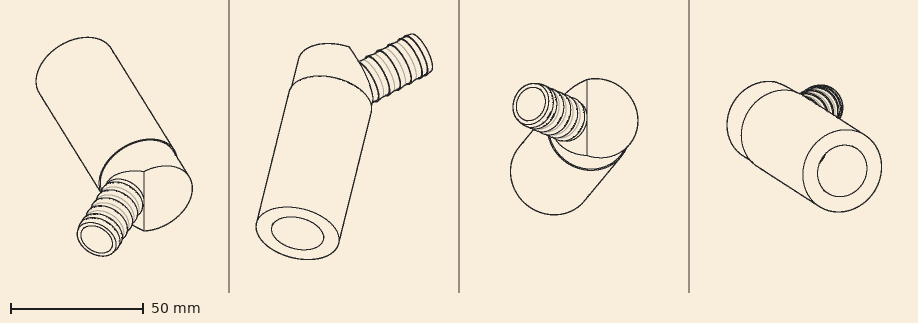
import cadquery as cq
import math

overall_length = 98.1
body_length = 63.0
body_diameter = 32.0
neck_length = 16.0
neck_diameter = 31.0
socket_diameter = 20.0
socket_depth = 40.0
bore_diameter = 12.9
spigot_root_diameter = 16.0
barb_diameter = 17.0
barbs_after_gap = 5
spigot_angle = 45.0

angle = math.radians(spigot_angle)
shoulder_x = body_length + neck_length
neck_radius = neck_diameter / 2
bevel_along_x = spigot_root_diameter * math.sin(angle)
bevel_along_y = spigot_root_diameter * math.cos(angle)
spigot_base_x = shoulder_x - bevel_along_x / 2
spigot_base_y = -neck_radius + bevel_along_y / 2
spigot_length = (overall_length - shoulder_x) / math.cos(angle)
spigot_direction = (math.cos(angle), -math.sin(angle), 0)

elbow_x = spigot_base_x + spigot_base_y / math.tan(angle)


def cylinder_along_x(start_x, length, diameter):
    return cq.Workplane("YZ", origin=(start_x, 0, 0)).circle(diameter / 2).extrude(length)


def beveled_neck():
    neck = cylinder_along_x(body_length, neck_length, neck_diameter)
    corner = (
        cq.Workplane("XY")
        .moveTo(shoulder_x, -neck_radius)
        .lineTo(shoulder_x, -neck_radius + bevel_along_y)
        .lineTo(shoulder_x - bevel_along_x, -neck_radius)
        .close()
        .extrude(neck_radius, both=True)
    )
    return neck.cut(corner)


def barbed_spigot():
    """Revolve plain gaps alternating with barbs; one extra barb closes the tip."""
    root_radius = spigot_root_diameter / 2
    barb_radius = barb_diameter / 2
    segment_count = 2 * barbs_after_gap + 1
    segment = spigot_length / segment_count

    plane = cq.Plane(
        origin=(spigot_base_x, spigot_base_y, 0),
        xDir=(math.sin(angle), math.cos(angle), 0),
        normal=(0, 0, -1),
    )
    profile = cq.Workplane(plane).lineTo(root_radius, 0)
    for index in range(segment_count):
        start = index * segment
        is_barb = index % 2 == 1 or index == segment_count - 1
        if is_barb:
            profile = profile.lineTo(barb_radius, start)
        profile = profile.lineTo(root_radius, start + segment)
    return profile.lineTo(0, spigot_length).close().revolve(360, (0, 0), (0, 1))


def mitred_bore():
    """Bore along the main axis that turns sharply into the spigot axis."""
    tip_x = spigot_base_x + spigot_length * spigot_direction[0]
    tip_y = spigot_base_y + spigot_length * spigot_direction[1]
    path = cq.Workplane("XY").polyline([(0, 0), (elbow_x, 0), (tip_x, tip_y)])
    return cq.Workplane("YZ").circle(bore_diameter / 2).sweep(path, transition="right")


body = cylinder_along_x(0, body_length, body_diameter)
socket = cylinder_along_x(0, socket_depth, socket_diameter)

outside = body.union(beveled_neck()).union(barbed_spigot())
result = outside.cut(socket).cut(mitred_bore())